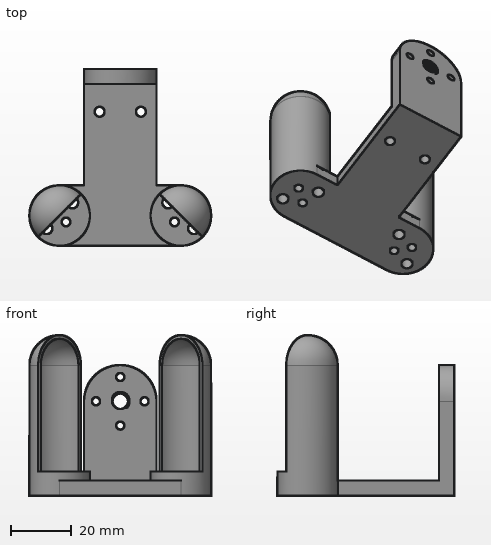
import cadquery as cq
import math

base_thickness = 5.08
overall_width = 60.0
overall_depth = 58.34
bar_radius = 10.0
holder_x = overall_width / 2 - bar_radius
stem_width = 24.0
back_y = overall_depth - bar_radius

pad_top = 8.0
dome_center_z = 43.0
shell_wall = 1.25
shell_inner_radius = bar_radius - shell_wall
opening_angle = 45.0

small_hole_diameter = 2.8
small_hole_offset = 3.0
large_hole_diameter = 3.7
large_hole_offset = 6.0

stem_hole_diameter = 3.2
stem_hole_spacing = 13.6
stem_hole_y = 34.2

plate_thickness = base_thickness
plate_height = 38.05
plate_radius = stem_width / 2
plate_center_z = base_thickness + plate_height - plate_radius
plate_hole_diameter = 2.6
plate_hole_circle_radius = 8.0
plate_hole_count = 4

thread_minor_radius = 5.04 / 2
thread_major_radius = 6.15 / 2
thread_pitch = 1.0
thread_root_width = thread_pitch / 8
thread_flank_angle = 30.0
thread_start_angle = 65.0
thread_overlap = 0.1


def make_base():
    bar = cq.Workplane("XY").rect(2 * holder_x, 2 * bar_radius).extrude(base_thickness)
    stem = cq.Workplane("XY").box(stem_width, back_y, base_thickness, centered=(True, False, False))
    return bar.union(stem)


def make_plate():
    return (
        cq.Workplane("XZ", origin=(0, back_y, 0))
        .moveTo(-plate_radius, 0)
        .lineTo(plate_radius, 0)
        .lineTo(plate_radius, plate_center_z)
        .threePointArc((0, plate_center_z + plate_radius), (-plate_radius, plate_center_z))
        .close()
        .extrude(plate_thickness)
    )


def place_at_side(body, side):
    """Turn a body towards the middle and move it to side -1 (left) or +1 (right)."""
    turned = body.rotate((0, 0, 0), (0, 0, 1), -side * opening_angle)
    return turned.translate((side * holder_x, 0, 0))


def make_holder():
    """Holder on the Z axis: a round pad and a half shell behind it, open towards -Y."""
    pad = cq.Workplane("XY").circle(bar_radius).extrude(pad_top)
    outer_diagonal = bar_radius * math.sqrt(0.5)
    inner_diagonal = shell_inner_radius * math.sqrt(0.5)
    shell = (
        cq.Workplane("XZ")
        .moveTo(shell_inner_radius, pad_top)
        .lineTo(bar_radius, pad_top)
        .lineTo(bar_radius, dome_center_z)
        .threePointArc((outer_diagonal, dome_center_z + outer_diagonal), (0, dome_center_z + bar_radius))
        .lineTo(0, dome_center_z + shell_inner_radius)
        .threePointArc((inner_diagonal, dome_center_z + inner_diagonal), (shell_inner_radius, dome_center_z))
        .close()
        .revolve(180, (0, 0, 0), (0, 1, 0))
    )
    return pad.union(shell)


def make_pad_holes():
    """Small pair along the opening direction, large pair along the shell's cut plane."""
    small = (
        cq.Workplane("XY")
        .pushPoints([(0, small_hole_offset), (0, -small_hole_offset)])
        .circle(small_hole_diameter / 2)
        .extrude(pad_top)
    )
    large = (
        cq.Workplane("XY")
        .pushPoints([(large_hole_offset, 0), (-large_hole_offset, 0)])
        .circle(large_hole_diameter / 2)
        .extrude(pad_top)
    )
    return small.union(large)


def make_stem_holes():
    return (
        cq.Workplane("XY")
        .pushPoints([(-stem_hole_spacing / 2, stem_hole_y), (stem_hole_spacing / 2, stem_hole_y)])
        .circle(stem_hole_diameter / 2)
        .extrude(base_thickness)
    )


def make_plate_holes():
    plate_axis = cq.Workplane("XZ", origin=(0, back_y, plate_center_z))
    screws = (
        plate_axis.polarArray(plate_hole_circle_radius, 0, 360, plate_hole_count)
        .circle(plate_hole_diameter / 2)
        .extrude(plate_thickness)
    )
    bore = plate_axis.circle(thread_minor_radius).extrude(plate_thickness)
    return screws.union(bore)


def make_thread_groove():
    """Right-hand helical groove that runs one pitch past both faces of the plate."""
    length = plate_thickness + 2 * thread_pitch
    inner_radius = thread_minor_radius - thread_overlap
    root_half = thread_root_width / 2
    flank_rise = (thread_major_radius - inner_radius) * math.tan(math.radians(thread_flank_angle))
    mouth_half = root_half + flank_rise
    helix = cq.Wire.makeHelix(thread_pitch, length, thread_minor_radius)
    groove = (
        cq.Workplane("XZ")
        .moveTo(inner_radius, -mouth_half)
        .lineTo(thread_major_radius, -root_half)
        .lineTo(thread_major_radius, root_half)
        .lineTo(inner_radius, mouth_half)
        .close()
        .sweep(cq.Workplane(obj=helix), isFrenet=True)
    )
    groove = groove.rotate((0, 0, 0), (0, 0, 1), thread_start_angle)
    groove = groove.rotate((0, 0, 0), (1, 0, 0), 90)
    return groove.translate((0, back_y + thread_pitch, plate_center_z))


plate = make_plate().cut(make_plate_holes()).cut(make_thread_groove())
result = make_base().cut(make_stem_holes()).union(plate)
holder = make_holder()
pad_holes = make_pad_holes()
for side in (-1, 1):
    result = result.union(place_at_side(holder, side))
    result = result.cut(place_at_side(pad_holes, side))